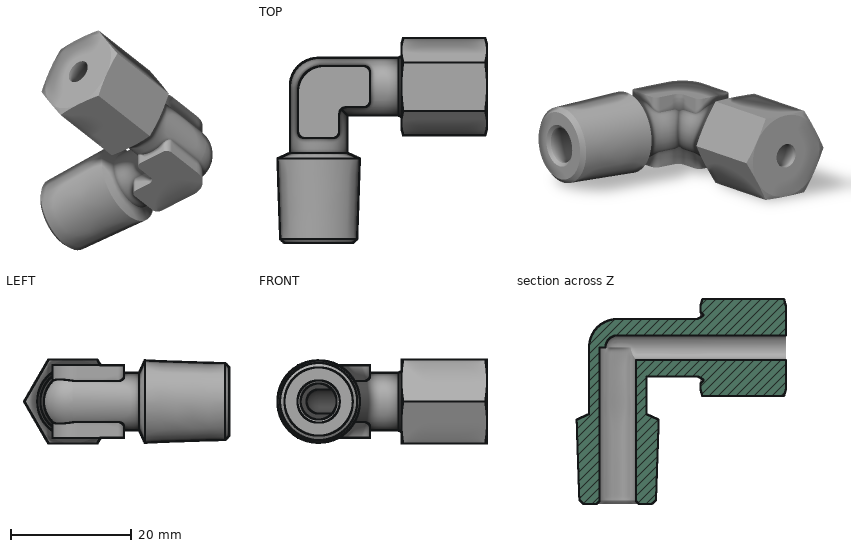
import cadquery as cq
import math

body_radius = 9.6 / 2

male_end_y = -26.0
male_tip_radius = 5.68
male_chamfer_y = -25.3
male_small_radius = 6.4
male_shoulder_y = -11.95
male_large_radius = 6.85
male_neck_y = -11.0
male_bore_radius = 6.0 / 2
male_bore_mouth_radius = 3.52
male_bore_chamfer = male_bore_mouth_radius - male_bore_radius

overall_length = 34.83
nut_end_x = overall_length - male_large_radius
nut_length = 14.25
nut_start_x = nut_end_x - nut_length
nut_across_flats = 14.0
nut_sides = 6
nut_corner_radius = nut_across_flats / 2 / math.cos(math.pi / nut_sides)
nut_corner_chamfer = 0.3
nut_face_radius = 6.95
nut_mouth_radius = 5.92
nut_hole_radius = 5.4
nut_mouth_depth = nut_mouth_radius - nut_hole_radius
flare_start_x = 13.25
flare_middle_x = 13.62
flare_middle_radius = 4.98
flare_end_x = nut_start_x + nut_mouth_depth
through_bore_radius = 4.0 / 2

pad_half_width = 3.4
pad_reach = 8.55
pad_height = 12.05
pad_outer_radius = 4.1
pad_inner_radius = 1.2
pad_end_radius = 1.05


def revolve_about_x(profile):
    return cq.Workplane("XY").polyline(profile).close().revolve(360, (0, 0, 0), (1, 0, 0))


def revolve_about_y(profile):
    return cq.Workplane("XY").polyline(profile).close().revolve(360, (0, 0, 0), (0, 1, 0))


def make_elbow():
    """Rounded elbow with a two-step flare on the X arm and a tapered male end on the Y arm."""
    corner = cq.Workplane("XY").sphere(body_radius)
    x_arm = revolve_about_x([
        (0, 0),
        (0, body_radius),
        (flare_start_x, body_radius),
        (flare_middle_x, flare_middle_radius),
        (flare_end_x, nut_hole_radius),
        (nut_end_x, nut_hole_radius),
        (nut_end_x, 0),
    ])
    y_arm = revolve_about_y([
        (0, 0),
        (body_radius, 0),
        (body_radius, male_neck_y),
        (male_large_radius, male_shoulder_y),
        (male_small_radius, male_chamfer_y),
        (male_tip_radius, male_end_y),
        (0, male_end_y),
    ])
    return corner.union(x_arm).union(y_arm)


def make_pads():
    """L-shaped block whose top and bottom faces form the wrench flats."""
    pads = (
        cq.Workplane("XY")
        .workplane(offset=-pad_height / 2)
        .moveTo(-pad_half_width, pad_half_width)
        .lineTo(pad_reach, pad_half_width)
        .lineTo(pad_reach, -pad_half_width)
        .lineTo(pad_half_width, -pad_half_width)
        .lineTo(pad_half_width, -pad_reach)
        .lineTo(-pad_half_width, -pad_reach)
        .close()
        .extrude(pad_height)
    )
    outer_corner = cq.selectors.NearestToPointSelector((-pad_half_width, pad_half_width, 0))
    inner_corner = cq.selectors.NearestToPointSelector((pad_half_width, -pad_half_width, 0))
    pads = pads.edges("|Z").edges(outer_corner).fillet(pad_outer_radius)
    pads = pads.edges("|Z").edges(inner_corner).fillet(pad_inner_radius)
    end_edges = pads.edges("|Z").edges(">X or <Y")
    return end_edges.fillet(pad_end_radius)


def make_nut():
    """Hexagon with both ends chamfered at the corners and a countersunk rear hole."""
    hexagon = (
        cq.Workplane("YZ")
        .workplane(offset=nut_start_x)
        .polygon(nut_sides, 2 * nut_corner_radius)
        .extrude(nut_length)
    )
    chamfer_envelope = revolve_about_x([
        (nut_start_x, 0),
        (nut_start_x, nut_face_radius),
        (nut_start_x + nut_corner_chamfer, nut_corner_radius),
        (nut_end_x - nut_corner_chamfer, nut_corner_radius),
        (nut_end_x, nut_face_radius),
        (nut_end_x, 0),
    ])
    hole = revolve_about_x([
        (nut_start_x, 0),
        (nut_start_x, nut_mouth_radius),
        (nut_start_x + nut_mouth_depth, nut_hole_radius),
        (nut_end_x, nut_hole_radius),
        (nut_end_x, 0),
    ])
    return hexagon.intersect(chamfer_envelope).cut(hole)


def make_bores():
    """Round-ended bore along X, met at the elbow centre by the wider bore along Y."""
    bore_end = cq.Workplane("XY").sphere(through_bore_radius)
    x_bore = cq.Workplane("YZ").circle(through_bore_radius).extrude(nut_end_x)
    y_bore = revolve_about_y([
        (0, 0),
        (male_bore_radius, 0),
        (male_bore_radius, male_end_y + male_bore_chamfer),
        (male_bore_mouth_radius, male_end_y),
        (0, male_end_y),
    ])
    return bore_end.union(x_bore).union(y_bore)


result = make_elbow().union(make_pads()).union(make_nut()).cut(make_bores())